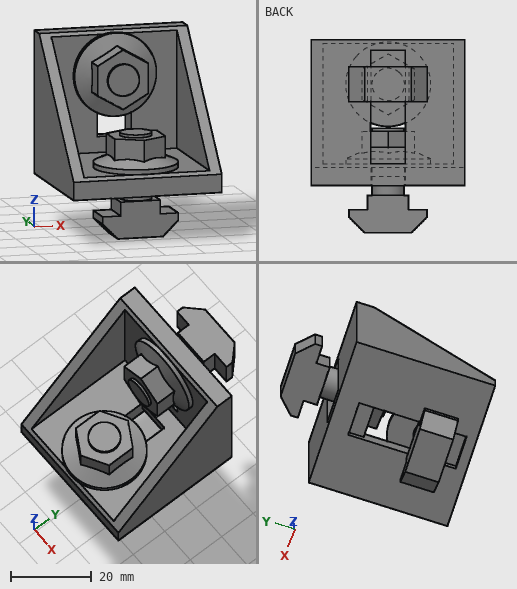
import cadquery as cq
import math

overall = 47.7
bolt_projection = 11.65

bracket_width = 38.0
leg_length = overall - bolt_projection
leg_end_thickness = 4.65
leg_thickness = 5.5
cheek_thickness = 2.9

bolt_distance = 25.1
shank_diameter = 8.0
shank_end_height = 14.2

slot_width = 8.65
slot_start = 9.5
slot_end = bolt_distance + slot_width / 2

groove_depth = 2.4
groove_overrun = 4.0

hex_across_flats = 13.0
hex_height = 8.0
flange_diameter = 21.0
flange_rim_height = 1.25
flange_slope = 0.45

head_thickness = 8.7
neck_width = 10.15
neck_start = 2.4
wing_width = 19.35
wing_start = 5.85
taper_start = 7.75
taper_depth = bolt_projection - taper_start


def make_leg_opening():
    """Cutter for the slot and the outer groove of the horizontal leg."""
    slot_length = slot_end - slot_start
    base = cq.Workplane("XY", origin=(0, -(slot_start + slot_end) / 2, 0))
    slot = base.rect(slot_width, slot_length).extrude(leg_thickness)
    groove = base.rect(slot_width, slot_length + 2 * groove_overrun).extrude(groove_depth)
    return slot.union(groove)


def make_bracket():
    """Angle bracket with a sloped rim, an open pocket, bolt slots and outer grooves."""
    blank = (
        cq.Workplane("YZ")
        .polyline([
            (0, 0),
            (-leg_length, 0),
            (-leg_length, leg_end_thickness),
            (-leg_end_thickness, leg_length),
            (0, leg_length),
        ])
        .close()
        .extrude(bracket_width / 2, both=True)
    )
    pocket = (
        cq.Workplane("XY", origin=(0, -leg_thickness - leg_length / 2, leg_thickness))
        .rect(bracket_width - 2 * cheek_thickness, leg_length)
        .extrude(leg_length)
    )
    floor_opening = make_leg_opening()
    wall_opening = floor_opening.mirror("XZ").rotate((0, 0, 0), (1, 0, 0), 90)
    return blank.cut(pocket).cut(floor_opening).cut(wall_opening)


def make_t_head():
    """T-slot head with two tapered wings."""
    taper_end_width = wing_width - 2 * taper_depth
    half_outline = [
        (neck_width / 2, -neck_start),
        (neck_width / 2, -wing_start),
        (wing_width / 2, -wing_start),
        (wing_width / 2, -taper_start),
        (taper_end_width / 2, -bolt_projection),
    ]
    other_half = [(-x, z) for x, z in reversed(half_outline)]
    return (
        cq.Workplane("XZ")
        .polyline(half_outline + other_half)
        .close()
        .extrude(head_thickness / 2, both=True)
    )


def make_flange():
    """Conical flange resting on the inner face of the leg."""
    radius = flange_diameter / 2
    rim_top = leg_thickness + flange_rim_height
    cone_top_radius = shank_diameter / 2
    cone_top = rim_top + flange_slope * (radius - cone_top_radius)
    return (
        cq.Workplane("XZ")
        .polyline([
            (0, leg_thickness),
            (radius, leg_thickness),
            (radius, rim_top),
            (cone_top_radius, cone_top),
            (0, cone_top),
        ])
        .close()
        .revolve(360, (0, 0), (0, 1))
    )


def make_bolt():
    """T-head bolt about the Z axis, with the outer face of the leg at Z = 0."""
    shank = (
        cq.Workplane("XY", origin=(0, 0, -neck_start))
        .circle(shank_diameter / 2)
        .extrude(neck_start + shank_end_height)
    )
    hexagon = (
        cq.Workplane("XY", origin=(0, 0, leg_thickness))
        .polygon(6, hex_across_flats / math.cos(math.pi / 6))
        .extrude(hex_height)
        .rotate((0, 0, 0), (0, 0, 1), 90)
    )
    return make_t_head().union(shank).union(make_flange()).union(hexagon)


bracket = make_bracket()

bolt_places = [
    (0, (0, -bolt_distance, 0)),
    (90, (0, 0, bolt_distance)),
]
bolts = [
    make_bolt().rotate((0, 0, 0), (1, 0, 0), tilt).translate(place)
    for tilt, place in bolt_places
]

result = cq.Compound.makeCompound([bracket.val(), *[bolt.val() for bolt in bolts]])